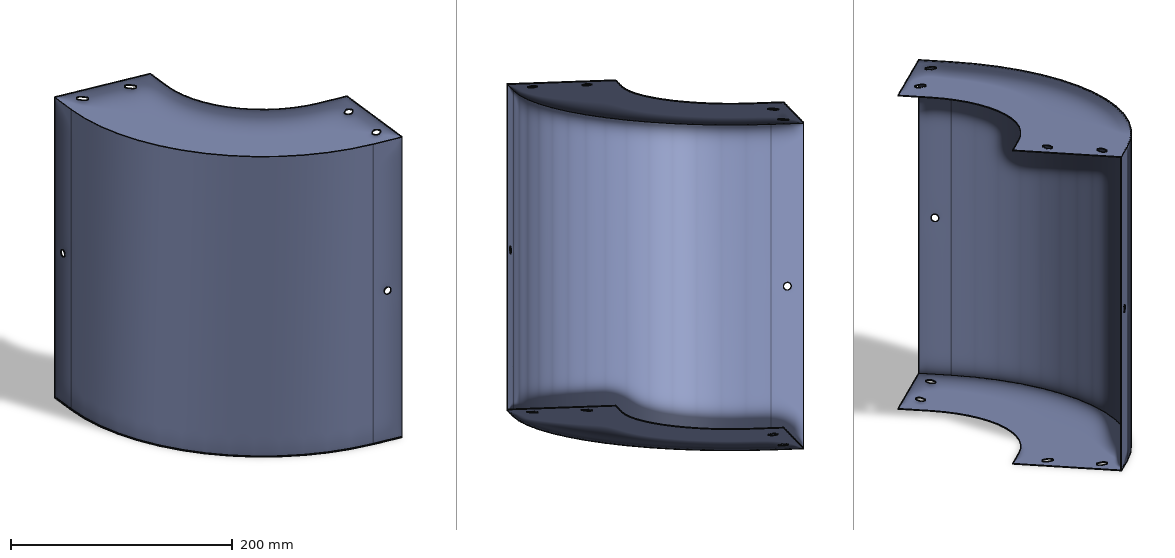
import cadquery as cq
import math

size = 230.0
height = 300.0
channel_width = 100.0
straight_length = 30.0
sheet = 0.8

hole_diameter = 7.0
slot_length = 11.0
end_distance = 15.0
slot_wall_distances = (sheet + 20.0, sheet + 70.0)
slot_angle = 45.0
cutter_depth = 20.0

half_size = size / 2
half_height = height / 2
axis_x = -half_size + straight_length
axis_y = half_size - straight_length
outer_radius = size - straight_length
inner_radius = outer_radius - channel_width


def bend_band(radius_in, radius_out, band_height):
    """Solid 90 degree band, centred on Z = 0, with a straight run at each end."""
    diagonal = math.sqrt(0.5)

    def arc_middle(radius):
        return (axis_x + radius * diagonal, axis_y - radius * diagonal)

    return (
        cq.Workplane("XY", origin=(0, 0, -band_height / 2))
        .moveTo(-half_size, axis_y - radius_out)
        .lineTo(axis_x, axis_y - radius_out)
        .threePointArc(arc_middle(radius_out), (axis_x + radius_out, axis_y))
        .lineTo(axis_x + radius_out, half_size)
        .lineTo(axis_x + radius_in, half_size)
        .lineTo(axis_x + radius_in, axis_y)
        .threePointArc(arc_middle(radius_in), (axis_x, axis_y - radius_in))
        .lineTo(-half_size, axis_y - radius_in)
        .close()
        .extrude(band_height)
    )


def folded_channel():
    """Outer wall with a top and a bottom flange, open on the inside of the bend."""
    body = bend_band(inner_radius, outer_radius, height)
    cavity = bend_band(inner_radius - sheet, outer_radius - sheet, height - 2 * sheet)
    return body.cut(cavity)


def slot_cutters(points, angle, z):
    """Upright slot cutters of one tilt, centred on the given plan points."""
    return (
        cq.Workplane("XY", origin=(0, 0, z))
        .pushPoints(points)
        .slot2D(slot_length, hole_diameter, angle)
        .extrude(cutter_depth / 2, both=True)
    )


def flange_slots(z_side):
    """Slots at both ends of one flange; the tilt is mirrored between ends and between flanges."""
    x_end_points = [(-half_size + end_distance, -half_size + d) for d in slot_wall_distances]
    y_end_points = [(half_size - d, half_size - end_distance) for d in slot_wall_distances]
    tilt = z_side * slot_angle
    z = z_side * half_height
    return slot_cutters(x_end_points, tilt, z).union(slot_cutters(y_end_points, -tilt, z))


def wall_holes():
    """One hole through the outer wall at mid height near each open end."""
    radius = hole_diameter / 2
    x_end_hole = (
        cq.Workplane("XZ", origin=(-half_size + end_distance, -half_size, 0))
        .circle(radius)
        .extrude(cutter_depth / 2, both=True)
    )
    y_end_hole = (
        cq.Workplane("YZ", origin=(half_size, half_size - end_distance, 0))
        .circle(radius)
        .extrude(cutter_depth / 2, both=True)
    )
    return x_end_hole.union(y_end_hole)


result = folded_channel().cut(wall_holes())
for side in (-1, 1):
    result = result.cut(flange_slots(side))